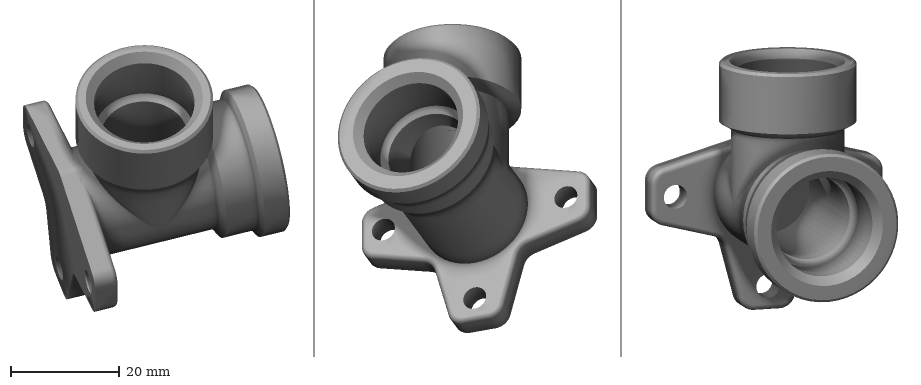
import cadquery as cq
import math

SLOPE_30 = math.tan(math.radians(30))

overall_height = 49.5
arm_reach = 45.0 / 2

pipe_radius = 21.0 / 2
bore_radius = 16.0 / 2
socket_radius = 18.6 / 2
socket_depth = 10.6
mouth_chamfer = 1.55
rim_chamfer = 0.5

branch_end = overall_height - arm_reach
branch_radius = 25.5 / 2
branch_collar_start = 15.7

run_end = 24.0
flange_radius = 28.0 / 2
flange_start = 19.0
run_collar_radius = 25.0 / 2
run_collar_start = 12.1

plate_front = -16.5
plate_thickness = 4.5
plate_back = plate_front + plate_thickness
hole_diameter = 4.5
hole_offset = 17.95
arm_half_width = 4.8
arm_slope = math.tan(math.radians(15))
corner_radius = 3.0
edge_radius = 1.0
rim_clearance = 0.5
plane_tolerance = 0.005
run_start = plate_back - edge_radius


def cone_length(large_radius, small_radius):
    """Axial length of a shoulder whose face leans 30 degrees from the radial plane."""
    return (large_radius - small_radius) * SLOPE_30


def revolve_z(profile):
    """Revolve (radius, height) points about Z."""
    return cq.Workplane("XZ").polyline(profile).close().revolve(360, (0, 0, 0), (0, 1, 0))


def turn_to_y(solid):
    """Turn a solid built along +Z so that it runs along +Y."""
    return solid.rotate((0, 0, 0), (1, 0, 0), -90)


def bore(end, bottom):
    """Blind bore with a wider socket and a chamfered mouth."""
    step = end - socket_depth
    return revolve_z([
        (0, bottom),
        (bore_radius, bottom),
        (bore_radius, step - cone_length(socket_radius, bore_radius)),
        (socket_radius, step),
        (socket_radius, end - mouth_chamfer),
        (socket_radius + mouth_chamfer, end),
        (0, end),
    ])


def branch_body():
    return revolve_z([
        (0, 0),
        (pipe_radius, 0),
        (pipe_radius, branch_collar_start - cone_length(branch_radius, pipe_radius)),
        (branch_radius, branch_collar_start),
        (branch_radius, branch_end - rim_chamfer),
        (branch_radius - rim_chamfer, branch_end),
        (0, branch_end),
    ])


def run_body():
    return turn_to_y(revolve_z([
        (0, run_start),
        (pipe_radius, run_start),
        (pipe_radius, run_collar_start - cone_length(run_collar_radius, pipe_radius)),
        (run_collar_radius, run_collar_start),
        (run_collar_radius, flange_start - cone_length(flange_radius, run_collar_radius)),
        (flange_radius, flange_start),
        (flange_radius, run_end - rim_chamfer),
        (flange_radius - rim_chamfer, run_end),
        (0, run_end),
    ]))


def mounting_plate():
    """Plate with three tapered arms and rounded corners."""
    apex = arm_half_width + arm_reach * arm_slope
    inner_corner = apex / (1 + arm_slope)
    right_side = [
        (arm_reach, arm_half_width),
        (arm_reach, -arm_half_width),
        (inner_corner, -inner_corner),
        (arm_half_width, -arm_reach),
    ]
    left_side = [(-x, z) for x, z in reversed(right_side)]
    return (
        cq.Workplane("XZ", origin=(0, plate_back, 0))
        .polyline([(0, apex)] + right_side + left_side)
        .close()
        .extrude(plate_thickness)
        .edges("|Y")
        .fillet(corner_radius)
    )


def is_exposed_rim(edge):
    """True for back edges of the plate that stand clear of the pipe wall."""
    center = edge.Center()
    on_back_face = abs(center.y - plate_back) < plane_tolerance
    return on_back_face and math.hypot(center.x, center.z) > pipe_radius + rim_clearance


def screw_holes():
    return (
        cq.Workplane("XZ", origin=(0, plate_back, 0))
        .pushPoints([(-hole_offset, 0), (hole_offset, 0), (0, -hole_offset)])
        .circle(hole_diameter / 2)
        .extrude(plate_thickness)
    )


base = run_body().union(mounting_plate())
base = base.edges().filter(is_exposed_rim).fillet(edge_radius)
body = base.union(branch_body()).cut(screw_holes())

run_bore = turn_to_y(bore(run_end, plate_back))
branch_bore = bore(branch_end, 0)
result = body.cut(run_bore).cut(branch_bore)